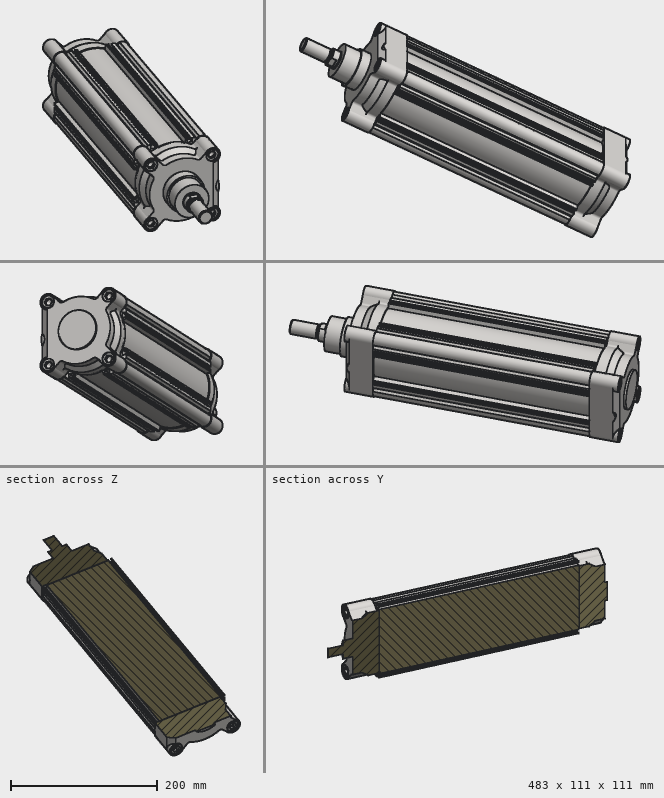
import cadquery as cq
import math

overall_length = 483.0
pilot_height = 3.5
cap_length = 40.5
barrel_length = 307.0
barrel_start = pilot_height + cap_length
barrel_end = barrel_start + barrel_length
front_face = barrel_end + cap_length

overall_width = 111.0
boss_radius = 11.0
boss_offset = overall_width / 2 - boss_radius
recess_radius = 8.5
recess_depth = 1.5
socket_across_flats = 9.5
socket_depth = 6.0
drill_point_angle = 118.0

small_radius = 47.5
large_radius = 53.0
small_step_length = 14.5
cone_length = 10.0
web_width = 21.3
web_fillet = 4.0
edge_tolerance = 0.05

port_face = overall_width / 2
bevel_inner = 45.5
bevel_length = 7.2
port_radius = 12.5
port_inset = 16.5
port_drop = 7.0

barrel_radius = 51.5
barrel_half_width = 54.5
corner_radius = barrel_half_width - boss_offset
groove_depth = 3.5
groove_centre = 37.5
slot_lip = 1.5
slot_floor = 49.0
slot_mouth_near = 24.0
slot_mouth_far = 28.5
slot_inner_near = 22.5
slot_inner_far = 30.0
rib_top = 21.3
rib_foot = 19.0

pilot_radius = 27.5
front_pilot_length = 14.5
nose_radius = 24.5
nose_length = 23.0
wiper_radius = 13.0
wiper_length = 1.5
rod_radius = 12.5
flat_half_width = 11.0
flat_start = 433.5
rod_shoulder = 442.5
shoulder_chamfer = 1.5
neck_radius = 8.5
thread_start = 445.5
thread_radius = 10.0
thread_chamfer = 1.5

nose_end = front_face + front_pilot_length + nose_length


def disc(start, length, radius):
    """Cylinder along +X, centred on the part's axis."""
    return cq.Workplane("YZ", origin=(start, 0, 0)).circle(radius).extrude(length)


def corner_points():
    return [(y, z) for y in (-boss_offset, boss_offset) for z in (-boss_offset, boss_offset)]


def waisted_block(start, radius):
    """Round core and diagonal webs to the bosses, with the inner corners filleted."""
    length = barrel_start - start
    web_length = 2 * math.hypot(boss_offset, boss_offset)
    block = disc(start, length, radius)
    for angle in (45, 135):
        web = cq.Workplane("YZ", origin=(start, 0, 0)).rect(web_length, web_width).extrude(length)
        block = block.union(web.rotate((0, 0, 0), (1, 0, 0), angle))

    def is_web_corner(edge):
        middle = edge.Center()
        on_core = abs(math.hypot(middle.y, middle.z) - radius) < edge_tolerance
        return on_core and abs(middle.z) > boss_radius

    return block.edges("|X").filter(is_web_corner).fillet(web_fillet)


def waist_cone():
    cone = cq.Solid.makeCone(
        small_radius,
        large_radius,
        cone_length,
        pnt=cq.Vector(pilot_height + small_step_length, 0, 0),
        dir=cq.Vector(1, 0, 0),
    )
    return cq.Workplane(obj=cone)


def port_side():
    """Flat side towards +Y, spanning the two bosses there."""
    outline = [
        (0, 0),
        (boss_offset, boss_offset),
        (port_face, boss_offset),
        (port_face, -boss_offset),
        (boss_offset, -boss_offset),
    ]
    return cq.Workplane("YZ", origin=(pilot_height, 0, 0)).polyline(outline).close().extrude(cap_length)


def port_bevel():
    """Wedge removed from the outer edge of the flat side."""
    corner = [
        (pilot_height, bevel_inner),
        (pilot_height, port_face),
        (pilot_height + bevel_length, port_face),
    ]
    bevel = cq.Workplane("XY").polyline(corner).close()
    return bevel.extrude(boss_offset + boss_radius, both=True)


def port_boss():
    """Round boss standing on the bevel, flush with the flat side."""
    centre = (pilot_height + port_inset, port_face, -port_drop)
    return cq.Workplane("XZ", origin=centre).circle(port_radius).extrude(port_face - bevel_inner)


def screw_sockets():
    """Hexagon sockets with drill points, each in a shallow round recess in a corner boss."""
    face = cq.Workplane("YZ", origin=(pilot_height, 0, 0)).pushPoints(corner_points())
    sockets = face.circle(recess_radius).extrude(recess_depth)
    across_corners = socket_across_flats / math.cos(math.pi / 6)
    sockets = sockets.union(face.polygon(6, across_corners).extrude(socket_depth))
    point_radius = socket_across_flats / 2
    point_length = point_radius / math.tan(math.radians(drill_point_angle / 2))
    for y, z in corner_points():
        point = cq.Solid.makeCone(
            point_radius,
            0,
            point_length,
            pnt=cq.Vector(pilot_height + socket_depth, y, z),
            dir=cq.Vector(1, 0, 0),
        )
        sockets = sockets.union(cq.Workplane(obj=point))
    return sockets


def end_cap():
    """End cap with its outer face towards -X, without its central pilot."""
    cap = waisted_block(pilot_height, small_radius)
    cap = cap.union(waist_cone())
    cap = cap.union(waisted_block(pilot_height + small_step_length + cone_length, large_radius))
    cap = cap.union(port_side()).cut(port_bevel()).union(port_boss())
    face = cq.Workplane("YZ", origin=(pilot_height, 0, 0))
    bosses = face.pushPoints(corner_points()).circle(boss_radius).extrude(cap_length)
    return cap.union(bosses).cut(screw_sockets())


def make_rear_cap():
    return end_cap().union(disc(0, pilot_height, pilot_radius))


def make_front_cap():
    """Mirrored end cap with a stepped nose, bored through for the rod."""
    barrel_middle = (barrel_start + barrel_end) / 2
    cap = end_cap().mirror("YZ", (barrel_middle, 0, 0))
    cap = cap.union(disc(front_face, front_pilot_length, pilot_radius))
    cap = cap.union(disc(front_face + front_pilot_length, nose_length, nose_radius))
    cap = cap.union(disc(nose_end, wiper_length, wiper_radius))
    return cap.cut(disc(barrel_end, overall_length - barrel_end, rod_radius))


def half_side():
    """Half of one barrel side, from the corner round to the foot of the rib."""
    top = barrel_half_width
    lip_underside = top - slot_lip
    return [
        (boss_offset, top),
        (groove_centre + groove_depth, top),
        (groove_centre, top - groove_depth),
        (groove_centre - groove_depth, top),
        (slot_mouth_far, top),
        (slot_mouth_far, lip_underside),
        (slot_inner_far, lip_underside),
        (slot_inner_far, slot_floor),
        (slot_inner_near, slot_floor),
        (slot_inner_near, lip_underside),
        (slot_mouth_near, lip_underside),
        (slot_mouth_near, top),
        (rib_top, top),
        (rib_foot, math.sqrt(barrel_radius**2 - rib_foot**2)),
    ]


def quarter_turns(point, turns):
    y, z = point
    for _ in range(turns):
        y, z = -z, y
    return y, z


def make_barrel():
    """Extrusion with four alike sides: T-slots and V-grooves beside a round crown."""
    right_half = half_side()
    left_half = [(-y, z) for y, z in reversed(right_half)]
    crown = (0, barrel_radius)
    corner_reach = boss_offset + corner_radius * math.sqrt(0.5)
    corner_middle = (-corner_reach, corner_reach)
    next_corner = (-barrel_half_width, boss_offset)

    outline = cq.Workplane("YZ", origin=(barrel_start, 0, 0)).moveTo(*right_half[0])
    for side in range(4):
        for point in right_half[1:]:
            outline = outline.lineTo(*quarter_turns(point, side))
        outline = outline.threePointArc(quarter_turns(crown, side), quarter_turns(left_half[0], side))
        for point in left_half[1:]:
            outline = outline.lineTo(*quarter_turns(point, side))
        outline = outline.threePointArc(
            quarter_turns(corner_middle, side), quarter_turns(next_corner, side)
        )
    return outline.close().extrude(barrel_length)


def make_rod():
    """Rod from the barrel's end through the front cap, with two wrench flats and a threaded end."""
    rod = disc(barrel_end, rod_shoulder - barrel_end, rod_radius).faces(">X").chamfer(shoulder_chamfer)
    for side in (-1, 1):
        flat = cq.Workplane("XY").box(rod_shoulder - flat_start, 2 * rod_radius, rod_radius)
        flat_centre = ((flat_start + rod_shoulder) / 2, 0, side * (flat_half_width + rod_radius / 2))
        rod = rod.cut(flat.translate(flat_centre))
    thread = disc(thread_start, overall_length - thread_start, thread_radius)
    thread = thread.faces(">X").chamfer(thread_chamfer)
    return rod.union(disc(rod_shoulder, thread_start - rod_shoulder, neck_radius)).union(thread)


rear_cap = make_rear_cap()
barrel = make_barrel()
front_cap = make_front_cap()
rod = make_rod()

result = cq.Compound.makeCompound([rear_cap.val(), barrel.val(), front_cap.val(), rod.val()])